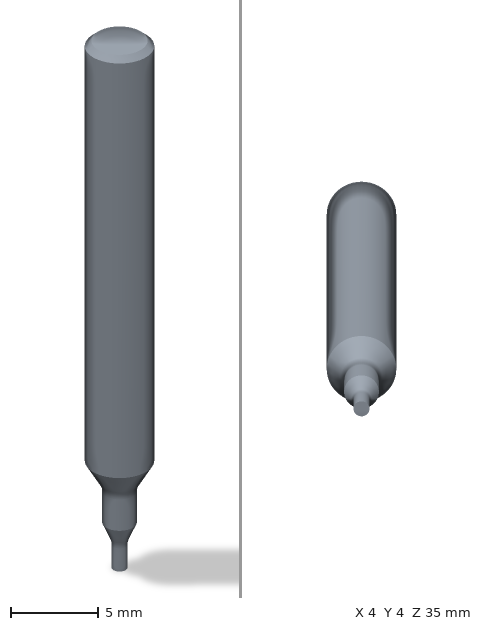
import cadquery as cq
import math

total_length = 35.0
shank_radius = 4.0 / 2
collar_radius = 2.0 / 2
tip_radius = 0.9 / 2

tip_length = 1.55
upper_blend_start = 5.1
lower_cone_angle = 23.0
upper_cone_angle = 30.0
cone_blend_radius = 1.0
shank_chamfer = 0.4
shank_chamfer_height = 0.35


def add_blended_cone(profile, start_height, narrow_radius, wide_radius, half_angle):
    """Continue a profile with a concave arc, tangent to the cylinder below, and a widening cone."""
    angle = math.radians(half_angle)

    def arc_point(turn):
        return (
            narrow_radius + cone_blend_radius * (1 - math.cos(turn)),
            start_height + cone_blend_radius * math.sin(turn),
        )

    sharp_foot = start_height + cone_blend_radius * math.tan(angle / 2)
    wide_end = sharp_foot + (wide_radius - narrow_radius) / math.tan(angle)
    return profile.threePointArc(arc_point(angle / 2), arc_point(angle)).lineTo(wide_radius, wide_end)


def make_tip():
    """Plain cylindrical tip."""
    return cq.Workplane("XY").circle(tip_radius).extrude(tip_length)


def make_holder():
    """Chamfered shank stepping down through two blended cones and a collar to the tip diameter."""
    profile = cq.Workplane("XZ").moveTo(0, tip_length).lineTo(tip_radius, tip_length)
    profile = add_blended_cone(profile, tip_length, tip_radius, collar_radius, lower_cone_angle)
    profile = profile.lineTo(collar_radius, upper_blend_start)
    profile = add_blended_cone(profile, upper_blend_start, collar_radius, shank_radius, upper_cone_angle)
    profile = (
        profile
        .lineTo(shank_radius, total_length - shank_chamfer_height)
        .lineTo(shank_radius - shank_chamfer, total_length)
        .lineTo(0, total_length)
        .close()
    )
    return profile.revolve(360, (0, 0), (0, 1))


tip = make_tip()
holder = make_holder()

result = cq.Compound.makeCompound([tip.val(), holder.val()])